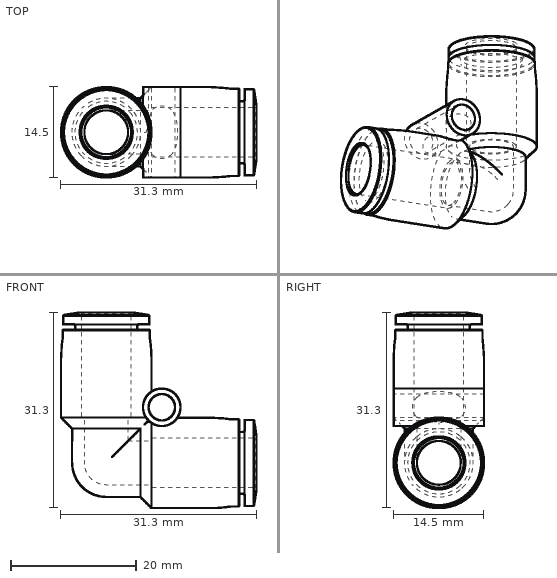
import cadquery as cq
import math

overall = 31.3
body_radius = 14.5 / 2
port_reach = overall - body_radius

elbow_radius = 5.48
elbow_bore_radius = 7.0 / 2

taper_start = 16.87
taper_end = 19.88
collar_end = 21.28
collar_radius = 14.0 / 2
collar_chamfer = 0.15

neck_radius = 9.95 / 2
neck_fillet = 0.25
flange_radius = 13.8 / 2
flange_start = 22.13
flange_rim_end = 23.5
flange_chamfer = 0.15

socket_radius = 7.95 / 2
socket_floor = body_radius
mouth_chamfer = 0.28

eyelet_offset = 8.9
eyelet_radius = 6.0 / 2
eyelet_hole_radius = 4.2 / 2


def port_outside():
    """Revolve the outside of the Z port: cone, tapered body, neck and flange."""
    fillet_middle = neck_fillet * (1 - math.sqrt(0.5))
    profile = (
        cq.Workplane("XZ")
        .moveTo(0, 0)
        .lineTo(elbow_radius, 0)
        .lineTo(elbow_radius, elbow_radius)
        .lineTo(body_radius, body_radius)
        .lineTo(body_radius, taper_start)
        .tangentArcPoint((collar_radius, taper_end), relative=False)
        .lineTo(collar_radius, collar_end - collar_chamfer)
        .lineTo(collar_radius - collar_chamfer, collar_end)
        .lineTo(neck_radius, collar_end)
        .lineTo(neck_radius, flange_start - neck_fillet)
        .threePointArc(
            (neck_radius + fillet_middle, flange_start - fillet_middle),
            (neck_radius + neck_fillet, flange_start),
        )
        .lineTo(flange_radius, flange_start)
        .lineTo(flange_radius, flange_rim_end)
        .lineTo(flange_radius - flange_chamfer, flange_rim_end + flange_chamfer)
        .lineTo(socket_radius + mouth_chamfer, port_reach)
        .lineTo(0, port_reach)
        .close()
    )
    return profile.revolve(360, (0, 0, 0), (0, 1, 0))


def port_cavity():
    """Revolve the stepped bore of the Z port, with its chamfered mouth."""
    profile = (
        cq.Workplane("XZ")
        .moveTo(0, 0)
        .lineTo(elbow_bore_radius, 0)
        .lineTo(elbow_bore_radius, socket_floor)
        .lineTo(socket_radius, socket_floor)
        .lineTo(socket_radius, port_reach - mouth_chamfer)
        .lineTo(socket_radius + mouth_chamfer, port_reach)
        .lineTo(0, port_reach)
        .close()
    )
    return profile.revolve(360, (0, 0, 0), (0, 1, 0))


def elbow_pair(port, corner_radius):
    """Join a Z port with its copy along X, rounding the corner with a sphere."""
    x_port = port.rotate((0, 0, 0), (0, 1, 0), 90)
    return port.union(x_port).union(cq.Workplane("XY").sphere(corner_radius))


def eyelet_cylinder(radius):
    """Cylinder along Y on the eyelet axis, as long as the body is wide."""
    return (
        cq.Workplane("XZ", origin=(0, body_radius, 0))
        .center(eyelet_offset, eyelet_offset)
        .circle(radius)
        .extrude(2 * body_radius)
    )


outside = elbow_pair(port_outside(), elbow_radius).union(eyelet_cylinder(eyelet_radius))
cavity = elbow_pair(port_cavity(), elbow_bore_radius)
result = outside.cut(cavity).cut(eyelet_cylinder(eyelet_hole_radius))